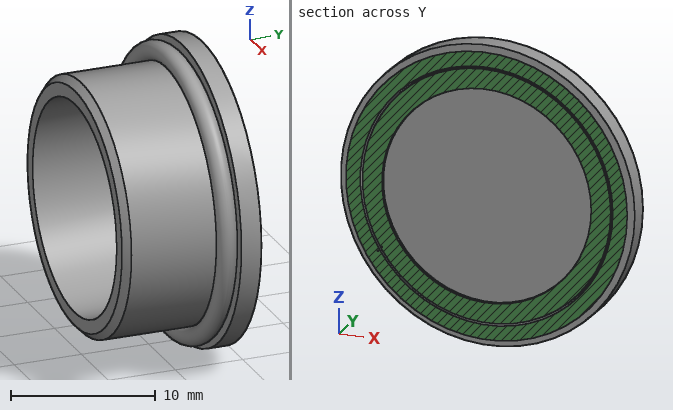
import cadquery as cq

flange_radius = 11.0
flange_thickness = 1.5
dome_height = 1.45
total_length = 10.95
plug_radius = 9.3
end_chamfer = 0.5
bore_radius = 7.8
ring_section_radius = 0.73
ring_overlap = 0.05

flange_back = total_length - dome_height
flange_front = flange_back - flange_thickness
bore_depth = flange_front
dome_sphere_radius = (flange_radius**2 + dome_height**2) / (2 * dome_height)
ring_center_radius = plug_radius + ring_section_radius - ring_overlap
ring_center_y = flange_front - ring_section_radius + ring_overlap


def revolve_about_y(profile):
    return profile.revolve(360, (0, 0, 0), (0, 1, 0))


def make_cap():
    half_radius = flange_radius / 2
    sphere_center_y = total_length - dome_sphere_radius
    dome_mid_y = sphere_center_y + (dome_sphere_radius**2 - half_radius**2) ** 0.5
    profile = (
        cq.Workplane("XY")
        .moveTo(0, bore_depth)
        .lineTo(bore_radius, bore_depth)
        .lineTo(bore_radius, 0)
        .lineTo(plug_radius - end_chamfer, 0)
        .lineTo(plug_radius, end_chamfer)
        .lineTo(plug_radius, flange_front)
        .lineTo(flange_radius, flange_front)
        .lineTo(flange_radius, flange_back)
        .threePointArc((half_radius, dome_mid_y), (0, total_length))
        .close()
    )
    return revolve_about_y(profile)


def make_sealing_ring():
    section = cq.Workplane("XY").center(ring_center_radius, ring_center_y).circle(ring_section_radius)
    return section.revolve(360, (-ring_center_radius, 0, 0), (-ring_center_radius, 1, 0))


result = make_cap().union(make_sealing_ring())